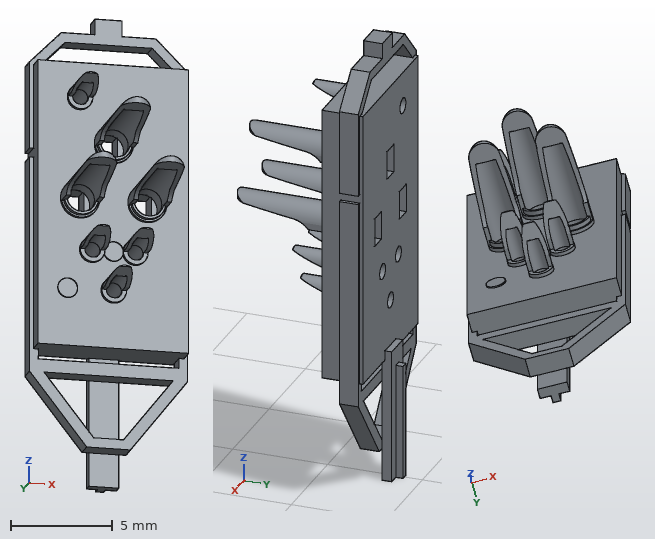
import cadquery as cq


block_half_width = 3.82
block_depth = 2.15
block_bottom = 6.56
block_top = 21.12
pad_diameter = 1.0
pad_height = 0.07
slot_width = 0.92

frame_front = 1.0
frame_thickness = 1.0
frame_back = frame_front + frame_thickness
frame_half_width = 4.0
leg_inner = 3.55
gap_bottom = 16.4
gap_top = 16.85

tab_half_width = 0.69
tab_top = 23.7
upper_bar_top = 22.9
upper_bar_bottom = 22.4
upper_outer_half = 2.4
upper_inner_half = 2.2
upper_shoulder = upper_bar_top - (frame_half_width - upper_outer_half)
upper_inner_shoulder = upper_bar_bottom - (leg_inner - upper_inner_half)

cross_bar_top = 6.07
cross_bar_bottom = 5.4
lower_bar_top = 2.2
lower_bar_bottom = 1.7
lower_outer_half = 1.11
window_top_half = 3.27

tail_half_width = 0.75
tail_top = 7.06
tail_back = 2.51
rib_half_width = 0.201
rib_top = 6.1
rib_back = 2.9

collar_length = 0.2

large_diameter = 1.95
large_bore = 1.5
large_length = 5.21
large_ledge_z = -0.178
large_ledge_length = 1.15
large_slope_start = (1.95, 0.25)
large_tip_z = 0.66
large_bore_end_z = 0.55
large_tip_radius = 0.8
large_flats_width = 1.92
inner_stub_diameter = 1.75
inner_stub_length = 0.43

small_collar_diameter = 1.25
small_diameter = 1.23
small_bore = 0.8
small_length = 2.5
small_slope_start = (0.78, 0)
small_tip_z = 0.55
small_bore_end_z = 0.28

column_x = 1.7
large_places = [(0, 17.02), (-column_x, 14.1), (column_x, 14.1)]
pair_x = 1.1
pair_z = 11.52
low_z = 9.5
small_places = [(-column_x, 19.32), (-pair_x, pair_z), (pair_x, pair_z), (0, low_z)]
pad_places = [(0, pair_z), (-2.32, low_z)]


def box(x_min, x_max, y_min, y_max, z_min, z_max):
    """Box between two opposite corners."""
    size = (x_max - x_min, y_max - y_min, z_max - z_min)
    return cq.Workplane("XY").box(*size, centered=False).translate((x_min, y_min, z_min))


def centred_box(half_width, y_min, y_max, z_min, z_max):
    """Box that is symmetric about x = 0."""
    return box(-half_width, half_width, y_min, y_max, z_min, z_max)


def cylinder(diameter, y_min, y_max, place=(0, 0)):
    """Cylinder along Y whose axis is at (x, z)."""
    bar = cq.Workplane("XZ").circle(diameter / 2).extrude(y_max - y_min)
    return bar.translate((place[0], y_max, place[1]))


def frame_plate(right_half):
    """Plate of frame thickness; its outline is the listed right half and the mirror image of it."""
    left_half = [(-x, z) for x, z in reversed(right_half)]
    plate = cq.Workplane("XZ").polyline(right_half + left_half).close().extrude(-frame_thickness)
    return plate.translate((0, frame_front, 0))


def make_upper_frame():
    outline = frame_plate([
        (tab_half_width, tab_top),
        (tab_half_width, upper_bar_top),
        (upper_outer_half, upper_bar_top),
        (frame_half_width, upper_shoulder),
        (frame_half_width, gap_top),
    ])
    opening = frame_plate([
        (upper_inner_half, upper_bar_bottom),
        (leg_inner, upper_inner_shoulder),
        (leg_inner, gap_top),
    ])
    return outline.cut(opening)


def make_lower_frame():
    outline = frame_plate([
        (frame_half_width, gap_bottom),
        (frame_half_width, cross_bar_bottom),
        (lower_outer_half, lower_bar_bottom),
    ])
    opening = centred_box(leg_inner, frame_front, frame_back, cross_bar_top, gap_bottom)
    window = frame_plate([
        (window_top_half, cross_bar_bottom),
        (tail_half_width, lower_bar_top),
    ])
    tail = centred_box(tail_half_width, frame_back, tail_back, 0, tail_top)
    rib = centred_box(rib_half_width, tail_back, rib_back, 0, rib_top)
    return outline.cut(opening).cut(window).union(tail).union(rib)


def bore_end(slope_start, length, tip_z, end_z):
    """Distance from the block at which the sloping underside of a spout reaches height end_z."""
    start, start_z = slope_start
    return start + (length - start) * (end_z - start_z) / (tip_z - start_z)


def make_large_spout():
    """Tube with shallow flats on both sides, cut away below to a tapering scoop."""
    radius = large_diameter / 2
    slope_y, slope_z = large_slope_start
    scoop = (
        cq.Workplane("YZ")
        .moveTo(0, radius)
        .lineTo(-large_length, radius)
        .lineTo(-large_length, large_tip_z)
        .lineTo(-slope_y, slope_z)
        .tangentArcPoint((-large_ledge_length, large_ledge_z), relative=False)
        .lineTo(0, large_ledge_z)
        .close()
        .extrude(radius, both=True)
    )
    tip_centre = large_tip_radius - large_length
    tip_plan = (
        cq.Workplane("XY")
        .center(0, tip_centre)
        .circle(large_tip_radius)
        .extrude(radius, both=True)
        .union(centred_box(radius, tip_centre, 0, -radius, radius))
    )
    needle = cylinder(large_diameter, -large_length, 0).intersect(scoop).intersect(tip_plan)

    collar = cylinder(large_diameter, -collar_length, 0)
    inner_stub = cylinder(inner_stub_diameter, -inner_stub_length, 0)
    bore_length = bore_end(large_slope_start, large_length, large_tip_z, large_bore_end_z)
    bore = cylinder(large_bore, -bore_length, 0)
    between_flats = centred_box(large_flats_width / 2, -large_length, 0, -radius, radius)
    return needle.union(collar).union(inner_stub).cut(bore).intersect(between_flats)


def make_small_spout():
    """Half tube with a sloping underside on a round collar."""
    radius = small_diameter / 2
    slope_y, slope_z = small_slope_start
    scoop = (
        cq.Workplane("YZ")
        .polyline([
            (0, radius),
            (-small_length, radius),
            (-small_length, small_tip_z),
            (-slope_y, slope_z),
            (0, slope_z),
        ])
        .close()
        .extrude(radius, both=True)
    )
    needle = cylinder(small_diameter, -small_length, 0).intersect(scoop)
    collar = cylinder(small_collar_diameter, -collar_length, 0)
    bore_length = bore_end(small_slope_start, small_length, small_tip_z, small_bore_end_z)
    return needle.union(collar).cut(cylinder(small_bore, -bore_length, 0))


def make_block(neighbours):
    """Drilled block with two round pads, cut out where the neighbouring bodies sit."""
    block = centred_box(block_half_width, 0, block_depth, block_bottom, block_top)
    for place in pad_places:
        block = block.union(cylinder(pad_diameter, -pad_height, 0, place))
    for place in small_places:
        block = block.cut(cylinder(small_bore, 0, block_depth, place))
    for x, z in large_places:
        block = block.cut(cylinder(large_bore, 0, frame_front, (x, z)))
        slot = centred_box(slot_width / 2, frame_front, block_depth, -large_bore / 2, large_bore / 2)
        block = block.cut(slot.translate((x, 0, z)))
    for neighbour in neighbours:
        block = block.cut(neighbour)
    return block


upper_frame = make_upper_frame()
lower_frame = make_lower_frame()
large_spouts = [make_large_spout().translate((x, 0, z)) for x, z in large_places]
small_spouts = [make_small_spout().translate((x, 0, z)) for x, z in small_places]
block = make_block([upper_frame, lower_frame] + small_spouts)

bodies = [block, upper_frame, lower_frame] + large_spouts + small_spouts
result = cq.Compound.makeCompound([body.solids().val() for body in bodies])